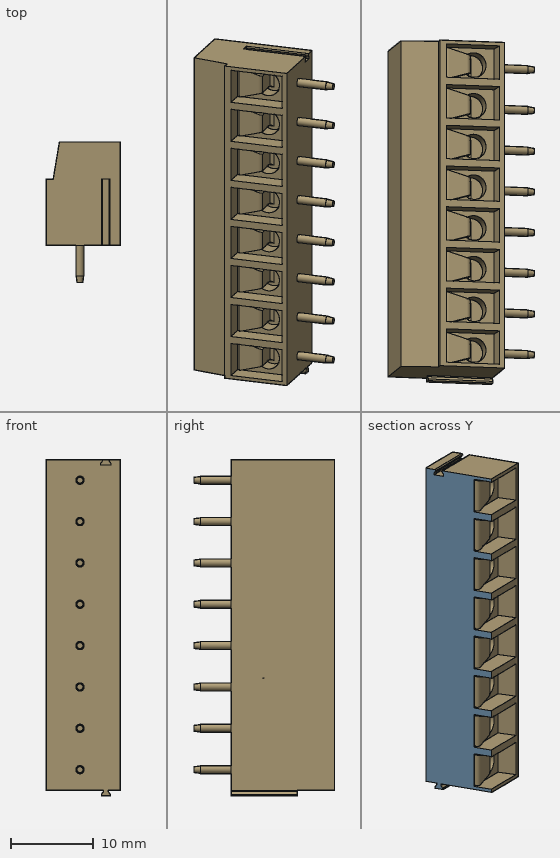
import cadquery as cq
import math


POLES = 8
PITCH = 5.0
ROW_LENGTH = POLES * PITCH
BODY_WIDTH = 9.0
BODY_DEPTH = 12.5
STEP_Y = 8.0
STEP_X = 0.85
BACK_EDGE_X = 1.6

DOVETAIL_X = 7.23
TONGUE_HEIGHT = 0.68
TONGUE_NECK_WIDTH = 0.6
TONGUE_FOOT_WIDTH = 1.1
NECK_HEIGHT = 0.15
LIP_HEIGHT = 0.2
GROOVE_CLEARANCE = 0.08
GROOVE_MOUTH_WIDTH = 1.02

POCKET_HEIGHT = 4.1
POCKET_DEPTH = 2.35
POCKET_FRONT_Y = 0.62
POCKET_BACK_Y = 7.18
FRONT_WALL_TAPER = 0.2

HOLE_DIAMETER = 3.0
HOLE_Y = 3.3
HOLE_DEPTH = 2.0
HOLE_FLOOR_X = POCKET_DEPTH + HOLE_DEPTH

LEAF_BACK_Y = 6.87
LEAF_FRONT_Y = 3.83
LEAF_RISE = 0.65
LEAF_BACK_RADIUS = 0.39
LEAF_BEND_LENGTH = 0.45
LEAF_BEND_ANGLE = math.radians(60)
LEAF_WIDE = 3.9
LEAF_NARROW = 2.12

RAMP_END_Y = 3.2
RAMP_DROP = 0.3

PIN_X = 4.1
PIN_DIAMETER = 1.0
PIN_LENGTH = 4.5
TIP_LENGTH = 0.82
TIP_BASE_DIAMETER = 0.94
TIP_END_DIAMETER = 0.72


def prism_along_z(points, height, center_z):
    """Extrude an XY outline along Z, centred on center_z."""
    plane = cq.Workplane("XY", origin=(0, 0, center_z - height / 2))
    return plane.polyline(points).close().extrude(height)


def make_housing():
    outline = [
        (0, 0),
        (BODY_WIDTH, 0),
        (BODY_WIDTH, BODY_DEPTH),
        (BACK_EDGE_X, BODY_DEPTH),
        (STEP_X, STEP_Y),
        (0, STEP_Y),
    ]
    return prism_along_z(outline, ROW_LENGTH, ROW_LENGTH / 2)


def make_dovetail(top_z, clearance, mouth_width):
    """Dovetail bar hanging below top_z, running from the pin face to the step."""
    neck = TONGUE_NECK_WIDTH / 2 + clearance
    foot = TONGUE_FOOT_WIDTH / 2 + clearance
    bottom_z = top_z - TONGUE_HEIGHT
    right_side = [
        (mouth_width / 2, top_z),
        (neck, top_z - NECK_HEIGHT),
        (foot, bottom_z + LIP_HEIGHT),
        (foot, bottom_z),
    ]
    left_side = [(-x, z) for x, z in reversed(right_side)]
    plane = cq.Workplane("XZ", origin=(DOVETAIL_X, 0, 0))
    return plane.polyline(right_side + left_side).close().extrude(-STEP_Y)


def make_pocket(center_z):
    outline = [
        (0, POCKET_FRONT_Y),
        (POCKET_DEPTH, POCKET_FRONT_Y + FRONT_WALL_TAPER),
        (POCKET_DEPTH, POCKET_BACK_Y),
        (0, POCKET_BACK_Y),
    ]
    return prism_along_z(outline, POCKET_HEIGHT, center_z)


def make_hole(center_z):
    plane = cq.Workplane("YZ", origin=(POCKET_DEPTH, HOLE_Y, center_z))
    return plane.circle(HOLE_DIAMETER / 2).extrude(HOLE_DEPTH)


def make_ramp_slot(center_z):
    outline = [
        (HOLE_FLOOR_X, LEAF_FRONT_Y),
        (HOLE_FLOOR_X + RAMP_DROP, LEAF_FRONT_Y),
        (HOLE_FLOOR_X, RAMP_END_Y),
    ]
    return prism_along_z(outline, LEAF_NARROW, center_z)


def make_leaf(center_z):
    """Bowed leaf with a rounded back end and a front bend into the hole, tapering toward the front."""
    top_x = POCKET_DEPTH - LEAF_RISE
    root_x = HOLE_FLOOR_X + RAMP_DROP
    round_start_y = LEAF_BACK_Y - LEAF_BACK_RADIUS
    round_angle = math.radians(45)
    round_mid = (
        top_x + LEAF_BACK_RADIUS * (1 - math.cos(round_angle)),
        round_start_y + LEAF_BACK_RADIUS * math.sin(round_angle),
    )
    bend_radius = LEAF_BEND_LENGTH / math.sin(LEAF_BEND_ANGLE)
    bend_start_y = LEAF_FRONT_Y + LEAF_BEND_LENGTH

    def bend_point(angle):
        return (
            top_x + bend_radius * (1 - math.cos(angle)),
            bend_start_y - bend_radius * math.sin(angle),
        )

    side_profile = (
        cq.Workplane("XY", origin=(0, 0, center_z - LEAF_WIDE / 2))
        .moveTo(root_x, LEAF_BACK_Y)
        .lineTo(top_x + LEAF_BACK_RADIUS, LEAF_BACK_Y)
        .threePointArc(round_mid, (top_x, round_start_y))
        .lineTo(top_x, bend_start_y)
        .threePointArc(bend_point(LEAF_BEND_ANGLE / 2), bend_point(LEAF_BEND_ANGLE))
        .lineTo(root_x, LEAF_FRONT_Y)
        .close()
        .extrude(LEAF_WIDE)
    )
    taper = [
        (LEAF_BACK_Y, -LEAF_WIDE / 2),
        (LEAF_FRONT_Y, -LEAF_NARROW / 2),
        (LEAF_FRONT_Y, LEAF_NARROW / 2),
        (LEAF_BACK_Y, LEAF_WIDE / 2),
    ]
    plane = cq.Workplane("YZ", origin=(top_x, 0, center_z))
    return side_profile.intersect(plane.polyline(taper).close().extrude(root_x - top_x))


def make_pin(center_z):
    shank_length = PIN_LENGTH - TIP_LENGTH
    profile = [
        (0, 0),
        (-PIN_DIAMETER / 2, 0),
        (-PIN_DIAMETER / 2, -shank_length),
        (-TIP_BASE_DIAMETER / 2, -shank_length),
        (-TIP_END_DIAMETER / 2, -PIN_LENGTH),
        (0, -PIN_LENGTH),
    ]
    plane = cq.Workplane("XY", origin=(PIN_X, 0, center_z))
    return plane.polyline(profile).close().revolve(360, (0, 0, 0), (0, 1, 0))


result = make_housing()
result = result.cut(make_dovetail(ROW_LENGTH, GROOVE_CLEARANCE, GROOVE_MOUTH_WIDTH))
result = result.union(make_dovetail(0, 0, TONGUE_NECK_WIDTH))

for pole in range(POLES):
    pole_z = (pole + 0.5) * PITCH
    result = result.cut(make_pocket(pole_z))
    result = result.cut(make_hole(pole_z))
    result = result.cut(make_ramp_slot(pole_z))
    result = result.union(make_leaf(pole_z))
    result = result.union(make_pin(pole_z))